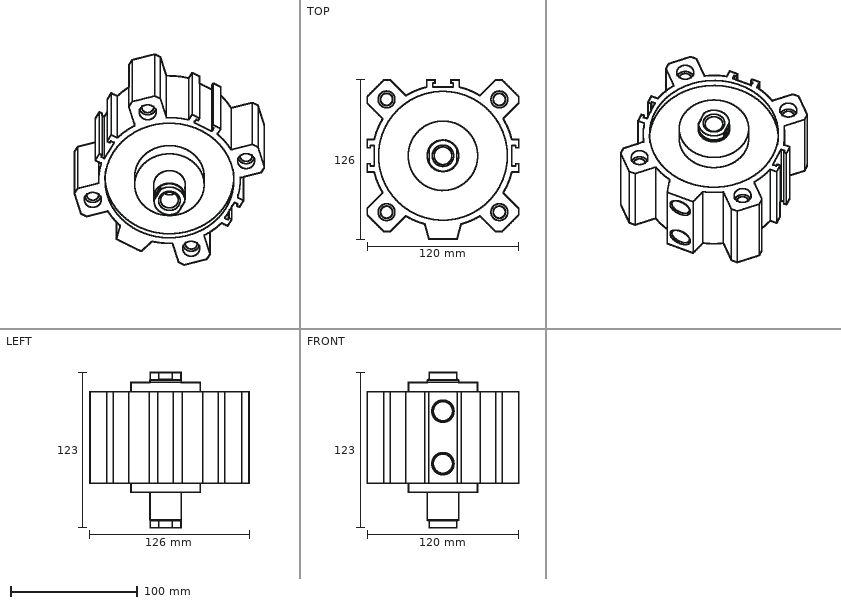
import cadquery as cq
import math

body_length = 72.5
body_radius = 56.0
body_square = 120.0

post_width = 26.0
post_reach = 75.5
bolt_hole_offset = 44.6
bolt_hole_diameter = 9.4
bolt_counterbore_diameter = 13.3
bolt_counterbore_depth = 8.6

rail_width = 26.0
slot_width = 16.0
slot_mouth_width = 12.4
slot_lip_thickness = 2.5
slot_floor_distance = 54.5

block_face_distance = 66.0
block_face_width = 22.4
block_side_taper = 15.0
port_spacing = 41.5
port_diameter = 15.3
port_chamfer = 1.1
port_depth = 14.0

recess_diameter = 102.0
recess_depth = 7.0
boss_diameter = 55.0
boss_projection = 7.25

rod_diameter = 25.0
rod_top_projection = 8.0
rod_bottom_projection = 28.0
tip_diameter = 24.5
tip_length = 5.75
shoulder_bevel_length = 0.5
wrench_flat_width = 22.0
wrench_flat_length = 5.5
rod_hole_diameter = 14.0
rod_hole_mouth_diameter = 17.0
rod_hole_depth = 24.0
drill_point_angle = 118.0

body_top = body_length / 2
body_square_half = body_square / 2
boss_end = body_top + boss_projection
rod_top = boss_end + rod_top_projection
rod_bottom = -boss_end - rod_bottom_projection


def bar_on_body_length(width, reach, angle):
    """Rectangular bar as long as the body, running from the axis out to `reach` at `angle`."""
    return (
        cq.Workplane("XY")
        .box(reach, width, body_length, centered=(False, True, True))
        .rotate((0, 0, 0), (0, 0, 1), angle)
    )


def cylinder(diameter, bottom, top):
    return cq.Workplane("XY").workplane(offset=bottom).circle(diameter / 2).extrude(top - bottom)


def make_posts():
    """Four diagonal posts, their corners trimmed by the square envelope of the body."""
    posts = bar_on_body_length(post_width, post_reach, 45)
    for angle in (135, 225, 315):
        posts = posts.union(bar_on_body_length(post_width, post_reach, angle))
    return posts.intersect(cq.Workplane("XY").box(body_square, body_square, body_length))


def make_slot(angle):
    """T-slot of a sensor rail: a wide channel behind a narrower mouth."""
    channel_reach = body_square_half - slot_lip_thickness
    channel = bar_on_body_length(slot_width, channel_reach, angle)
    mouth = bar_on_body_length(slot_mouth_width, body_square_half, angle)
    below_floor = bar_on_body_length(rail_width, slot_floor_distance, angle)
    return channel.union(mouth).cut(below_floor)


def make_port_block():
    """Block with sides that widen from the port face towards the axis."""
    face_half = block_face_width / 2
    root_distance = recess_diameter / 2
    root_half = face_half + (block_face_distance - root_distance) * math.tan(math.radians(block_side_taper))
    return (
        cq.Workplane("XY")
        .workplane(offset=-body_top)
        .polyline(
            [
                (-face_half, -block_face_distance),
                (face_half, -block_face_distance),
                (root_half, -root_distance),
                (-root_half, -root_distance),
            ]
        )
        .close()
        .extrude(body_length)
    )


def make_port(z):
    """Blind threaded port with a chamfered mouth, entering from the port face."""
    radius = port_diameter / 2
    profile = [
        (0, 0),
        (radius + port_chamfer, 0),
        (radius, port_chamfer),
        (radius, port_depth),
        (0, port_depth),
    ]
    return (
        cq.Workplane("XY")
        .polyline(profile)
        .close()
        .revolve(360, (0, 0, 0), (0, 1, 0))
        .translate((0, -block_face_distance, z))
    )


def make_bolt_hole(x, y):
    """Through hole with a counterbore at each end."""
    bore_start = body_top - bolt_counterbore_depth
    hole = cylinder(bolt_hole_diameter, -body_top, body_top)
    hole = hole.union(cylinder(bolt_counterbore_diameter, bore_start, body_top))
    hole = hole.union(cylinder(bolt_counterbore_diameter, -body_top, -bore_start))
    return hole.translate((x, y, 0))


def make_housing():
    rail_angles = (0, 90, 180)
    housing = cylinder(2 * body_radius, -body_top, body_top)
    housing = housing.union(make_posts()).union(make_port_block())
    for angle in rail_angles:
        housing = housing.union(bar_on_body_length(rail_width, body_square_half, angle))
    for angle in rail_angles:
        housing = housing.cut(make_slot(angle))

    recess_floor = body_top - recess_depth
    housing = housing.cut(cylinder(recess_diameter, recess_floor, body_top))
    housing = housing.cut(cylinder(recess_diameter, -body_top, -recess_floor))
    housing = housing.union(cylinder(boss_diameter, -boss_end, boss_end))

    for x in (-bolt_hole_offset, bolt_hole_offset):
        for y in (-bolt_hole_offset, bolt_hole_offset):
            housing = housing.cut(make_bolt_hole(x, y))
    for z in (-port_spacing / 2, port_spacing / 2):
        housing = housing.cut(make_port(z))
    return housing.cut(cylinder(rod_diameter, -boss_end, boss_end))


def make_rod_hole():
    """Drilled hole pointing down from Z = 0, with a chamfered mouth and a drill point."""
    radius = rod_hole_diameter / 2
    mouth_radius = rod_hole_mouth_diameter / 2
    point_length = radius / math.tan(math.radians(drill_point_angle / 2))
    profile = [
        (0, 0),
        (mouth_radius, 0),
        (radius, radius - mouth_radius),
        (radius, -rod_hole_depth),
        (0, -rod_hole_depth - point_length),
    ]
    return cq.Workplane("XZ").polyline(profile).close().revolve(360, (0, 0, 0), (0, 1, 0))


def make_flat_cuts():
    """Material removed beside the two wrench flats of a tip that ends at Z = 0.

    Each cut ends in a slope that runs from the foot of the flat down to the rod's shoulder.
    """
    rod_radius = rod_diameter / 2
    flat_distance = wrench_flat_width / 2
    profile = [
        (flat_distance, 0),
        (rod_radius, 0),
        (rod_radius, -tip_length - shoulder_bevel_length),
        (flat_distance, -wrench_flat_length),
    ]
    cut = cq.Workplane("XZ").polyline(profile).close().extrude(rod_radius, both=True)
    return cut.union(cut.mirror("YZ"))


def make_rod():
    rod_radius = rod_diameter / 2
    tip_radius = tip_diameter / 2
    shoulder = tip_length + shoulder_bevel_length
    profile = [
        (0, rod_bottom),
        (tip_radius, rod_bottom),
        (tip_radius, rod_bottom + tip_length),
        (rod_radius, rod_bottom + shoulder),
        (rod_radius, rod_top - shoulder),
        (tip_radius, rod_top - tip_length),
        (tip_radius, rod_top),
        (0, rod_top),
    ]
    rod = cq.Workplane("XZ").polyline(profile).close().revolve(360, (0, 0, 0), (0, 1, 0))
    end_cut_shapes = (make_rod_hole(), make_flat_cuts())
    for shape in end_cut_shapes:
        rod = rod.cut(shape.translate((0, 0, rod_top)))
        rod = rod.cut(shape.mirror("XY").translate((0, 0, rod_bottom)))
    return rod


housing = make_housing()
rod = make_rod()

result = cq.Compound.makeCompound([housing.solids().val(), rod.solids().val()])